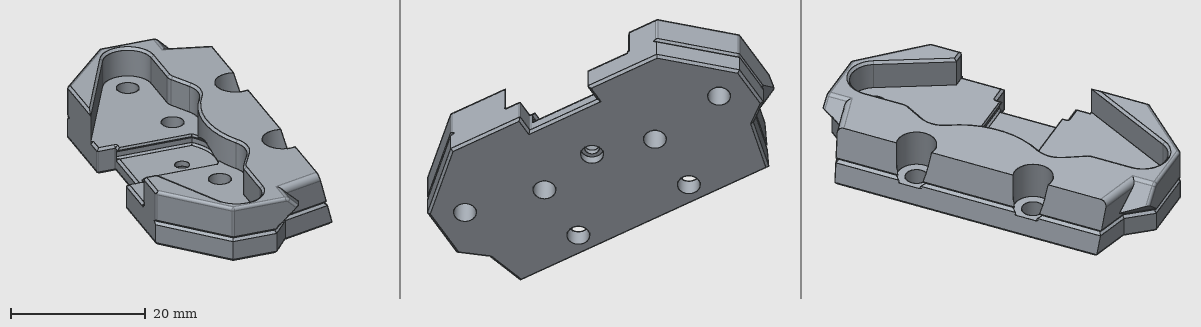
import cadquery as cq
import math

width = 53.6
depth = 26.7
height = 9.0
half_width = width / 2
margin = 0.55

edge_chamfer = 0.4
small_fillet = 0.5
large_fillet = 1.0

front_half_width = 17.7
side_start_y = 8.75
groove_z = 3.8

wedge_back_half_width = 21.35
wedge_front_y = 13.4
foot_drop = 0.4
side_angle = math.radians(15)
back_angle = math.radians(15)

ear_top_y = 17.6
ear_left_y = 17.4
ear_right_y = 15.7
ear_undercut_z = 4.3
ear_plan_slope = 0.82
ear_undercut_slope = 1.1
ear_inner_x = 21.95

hole_d = 3.4
counterbore_d = 6.0
counterbore_floor_z = 3.0
small_hole_d = 2.2
underside_bore_depth = 1.5
outer_hole_x = 21.8
outer_hole_y = 11.25
inner_hole_x = 9.5
inner_hole_y = 13.5
rear_hole_y = 23.45

pocket_floor_z = 4.3
pocket_end_radius = 3.75
pocket_lobe_radius = 4.0
pocket_shoulder_radius = 2.0
pocket_lobe_angle = math.radians(30)
pocket_front_angle = math.radians(27.5)
pocket_middle_y = 14.85
pocket_right_x = 12.65
pocket_overrun = 2.7

pocket_slant = math.tan(pocket_front_angle)
pocket_slant_x = outer_hole_x + pocket_end_radius * math.sin(pocket_front_angle)
pocket_slant_y = outer_hole_y - pocket_end_radius * math.cos(pocket_front_angle)

notch_half_width = 5.8
notch_depth = 2.9
notch_fillet = 0.15
slot_floor_z = 2.35
slot_half_width = 5.35
slot_rear_radius = 8.05
slot_rear_y = 17.0
slot_floor_chamfer = 0.3
slot_taper_z = 3.5
slot_taper_height = 2.4
slot_neck_z = 3.9
slot_neck_inset = 0.45
slot_mouth_inset = 0.25


def slab(outline, z_low, z_high):
    """Extrude a closed plan outline between two heights."""
    return cq.Workplane("XY").workplane(offset=z_low).polyline(outline).close().extrude(z_high - z_low)


def along_x(profile):
    """Extrude a closed (Y, Z) profile across the full width."""
    return cq.Workplane("YZ").polyline(profile).close().extrude(half_width + margin, both=True)


def plate(z_low, z_high):
    """Front plate; its slanted rear corners run into the wedge."""
    inner_rise = ear_plan_slope * (half_width - ear_inner_x)
    return slab(
        [
            (-front_half_width, 0),
            (front_half_width, 0),
            (half_width, side_start_y),
            (half_width, ear_right_y),
            (ear_inner_x, ear_right_y + inner_rise),
            (-ear_inner_x, ear_left_y + inner_rise),
            (-half_width, ear_left_y),
            (-half_width, side_start_y),
        ],
        z_low,
        z_high,
    )


def wedge(z_low, z_high):
    """Rear wedge with tapering sides and a back face leaning forward."""
    front_half = wedge_back_half_width + (depth - wedge_front_y) * math.tan(side_angle)
    lean = math.tan(back_angle)
    foot_y = depth + foot_drop * lean
    foot_half = wedge_back_half_width - (foot_y - depth) * math.tan(side_angle)
    plan = [
        (-front_half, wedge_front_y),
        (front_half, wedge_front_y),
        (foot_half, foot_y),
        (-foot_half, foot_y),
    ]
    leaning_back = along_x([(0, 0), (foot_y, 0), (foot_y - height * lean, height), (0, height)])
    return slab(plan, z_low, z_high).intersect(leaning_back)


def ear(side, root_y):
    """Overhanging ear on one side, ruled between its outer and inner sections."""
    def section(x):
        low_y = root_y + ear_plan_slope * (half_width - x)
        slope_sum = ear_top_y + height
        rise = (slope_sum - low_y - ear_undercut_z) / (1 + ear_undercut_slope)
        points = [
            (wedge_front_y, ear_undercut_z),
            (low_y, ear_undercut_z),
            (low_y + ear_undercut_slope * rise, ear_undercut_z + rise),
            (ear_top_y, height),
            (wedge_front_y, height),
        ]
        return cq.Wire.makePolygon([cq.Vector(side * x, y, z) for y, z in points], close=True)

    return cq.Workplane(cq.Solid.makeLoft([section(half_width), section(ear_inner_x)], True))


def region(x_limit, y_low, y_high, z_low, z_high):
    """Selector for edges centred inside a box that is symmetric about X = 0."""
    return cq.selectors.BoxSelector((-x_limit, y_low, z_low), (x_limit, y_high, z_high))


def upper_block():
    """Upper half of the plate with its ears and rounded outer edges."""
    slope_foot_y = ear_top_y + height
    below_slope = along_x([(0, 0), (slope_foot_y, 0), (ear_top_y, height), (0, height)])
    block = plate(groove_z, height).intersect(below_slope)
    block = block.union(ear(-1, ear_left_y)).union(ear(1, ear_right_y))
    block = block.faces(">Z").edges(">Y").fillet(large_fillet)
    block = block.faces("<Y").edges(">Z").chamfer(edge_chamfer)
    beyond = half_width + margin
    side_corners = region(beyond, side_start_y - margin, side_start_y + margin, groove_z, height)
    block = block.edges("|Z").edges(side_corners).fillet(small_fillet)
    upper_rims = region(beyond, -margin, slope_foot_y, height / 2 + ear_undercut_z / 2, height + margin)
    block = block.faces("<X").edges(upper_rims).fillet(small_fillet)
    return block.faces(">X").edges(upper_rims).fillet(small_fillet)


def grooved_body():
    """Plate and wedge, with a V groove around the sides and back only."""
    upper_wedge = wedge(groove_z, height).faces(">Z").edges("not |X").fillet(large_fillet)
    upper = upper_block().union(upper_wedge)
    upper = upper.faces("<Z").edges("not <Y").chamfer(edge_chamfer)
    lower = plate(0, groove_z).union(wedge(0, groove_z))
    lower = lower.faces(">Z").edges("not <Y").chamfer(edge_chamfer)
    front_corners = region(half_width, -margin, margin, groove_z, height)
    return upper.union(lower).edges("|Z").edges(front_corners).fillet(small_fillet)


def flare(outline, edge_z):
    """Tool that breaks a pocket edge at 45 degrees, widening upward to edge_z."""
    tool = outline.extrude(edge_chamfer, taper=-45)
    return tool.translate((0, 0, edge_z - edge_chamfer))


def front_edge_cut(x_low, x_high, face_y, edge_z):
    """Triangular strip along X that breaks a front edge at 45 degrees."""
    profile = [(face_y, edge_z), (face_y + edge_chamfer, edge_z), (face_y, edge_z - edge_chamfer)]
    strip = cq.Workplane("YZ").polyline(profile).close().extrude(x_high - x_low)
    return strip.translate((x_low, 0, 0))


def pocket_outline():
    """Plan of the pocket; tangent arcs around the holes, open through the front face."""
    lobe_sin = math.sin(pocket_lobe_angle)
    lobe_cos = math.cos(pocket_lobe_angle)

    end_top_y = outer_hole_y + pocket_end_radius
    right_corner_y = pocket_slant_y - (pocket_slant_x - pocket_right_x) * pocket_slant
    left_open_x = pocket_slant_x - (pocket_slant_y + pocket_overrun) / pocket_slant

    lobe_x = inner_hole_x + pocket_lobe_radius * lobe_sin
    lobe_y = inner_hole_y + pocket_lobe_radius * lobe_cos
    shoulder_x = lobe_x + (lobe_y - end_top_y) / math.tan(pocket_lobe_angle)
    setback = pocket_shoulder_radius * math.tan(pocket_lobe_angle / 2)
    shoulder_end_x = shoulder_x + setback
    shoulder_start_x = shoulder_x - setback * lobe_cos
    shoulder_start_y = end_top_y + setback * lobe_sin

    rise = pocket_middle_y - inner_hole_y
    spread = inner_hole_x**2 + rise**2 - pocket_lobe_radius**2
    middle_radius = spread / (2 * (pocket_lobe_radius - rise))
    share = pocket_lobe_radius / (pocket_lobe_radius + middle_radius)
    touch_x = inner_hole_x * (1 - share)
    touch_y = inner_hole_y + (pocket_middle_y + middle_radius - inner_hole_y) * share
    lobe_top_y = inner_hole_y + pocket_lobe_radius

    outer_x = outer_hole_x + pocket_end_radius
    return (
        cq.Workplane("XY")
        .moveTo(-left_open_x, -pocket_overrun)
        .lineTo(-pocket_slant_x, pocket_slant_y)
        .threePointArc((-outer_x, outer_hole_y), (-outer_hole_x, end_top_y))
        .lineTo(-shoulder_end_x, end_top_y)
        .tangentArcPoint((-shoulder_start_x, shoulder_start_y), relative=False)
        .lineTo(-lobe_x, lobe_y)
        .threePointArc((-inner_hole_x, lobe_top_y), (-touch_x, touch_y))
        .threePointArc((0, pocket_middle_y), (touch_x, touch_y))
        .threePointArc((inner_hole_x, lobe_top_y), (lobe_x, lobe_y))
        .lineTo(shoulder_start_x, shoulder_start_y)
        .tangentArcPoint((shoulder_end_x, end_top_y), relative=False)
        .lineTo(outer_hole_x, end_top_y)
        .threePointArc((outer_x, outer_hole_y), (pocket_slant_x, pocket_slant_y))
        .lineTo(pocket_right_x, right_corner_y)
        .lineTo(pocket_right_x, -pocket_overrun)
        .close()
    )


def pocket():
    """Pocket tool that also breaks the top rim and the edges at its front opening."""
    left_front_x = pocket_slant_y / pocket_slant - pocket_slant_x
    corner = [
        (pocket_right_x, 0),
        (pocket_right_x + edge_chamfer, 0),
        (pocket_right_x, edge_chamfer),
    ]
    tool = pocket_outline().extrude(height).translate((0, 0, pocket_floor_z))
    tool = tool.union(flare(pocket_outline(), height))
    tool = tool.union(slab(corner, pocket_floor_z, height))
    return tool.union(front_edge_cut(left_front_x, pocket_right_x, 0, pocket_floor_z))


def notch_outline():
    return cq.Workplane("XY").rect(2 * notch_half_width, 2 * notch_depth)


def slot_outline(inset):
    """Plan of the slot with an arched rear end, offset inward by inset."""
    half = slot_half_width - inset
    radius = slot_rear_radius - inset
    rear_y = slot_rear_y - inset
    side_y = rear_y - radius + math.sqrt(radius**2 - half**2)
    return (
        cq.Workplane("XY")
        .moveTo(-half, -notch_depth)
        .lineTo(-half, side_y)
        .threePointArc((0, rear_y), (half, side_y))
        .lineTo(half, -notch_depth)
        .close()
    )


def undercut_slot():
    """Slot that is wider below its neck; its sloping roof bites into the pocket wall."""
    floor_layer = slot_outline(slot_floor_chamfer).extrude(slot_floor_chamfer, taper=-45)
    tool = floor_layer.translate((0, 0, slot_floor_z))
    wall_z = slot_floor_z + slot_floor_chamfer
    tool = tool.union(slot_outline(0).extrude(slot_taper_z - wall_z).translate((0, 0, wall_z)))
    roof = slot_outline(0).extrude(slot_taper_height, taper=45)
    tool = tool.union(roof.translate((0, 0, slot_taper_z)))
    mouth_rise = pocket_floor_z - slot_neck_z
    flare_angle = math.degrees(math.atan((slot_neck_inset - slot_mouth_inset) / mouth_rise))
    mouth = slot_outline(slot_neck_inset).extrude(mouth_rise, taper=-flare_angle)
    mouth = mouth.intersect(pocket_outline().extrude(height))
    tool = tool.union(mouth.translate((0, 0, slot_neck_z)))
    lip = front_edge_cut(-slot_half_width, slot_half_width, notch_depth, slot_floor_z)
    return tool.union(lip)


def hole_tool(points, diameter, z_low):
    """Cylinders from z_low up past the top of the part."""
    cylinders = cq.Workplane("XY").workplane(offset=z_low).pushPoints(points)
    return cylinders.circle(diameter / 2).extrude(height)


def holes():
    outer = [(-outer_hole_x, outer_hole_y), (outer_hole_x, outer_hole_y)]
    inner = [(-inner_hole_x, inner_hole_y), (inner_hole_x, inner_hole_y)]
    rear = [(-inner_hole_x, rear_hole_y), (inner_hole_x, rear_hole_y)]
    centre = [(0, outer_hole_y)]
    tool = hole_tool(outer + inner + rear, hole_d, 0)
    tool = tool.union(hole_tool(rear, counterbore_d, counterbore_floor_z))
    tool = tool.union(hole_tool(centre, small_hole_d, 0))
    underside_bore = cq.Workplane("XY").center(0, outer_hole_y).circle(hole_d / 2)
    return tool.union(underside_bore.extrude(underside_bore_depth))


result = grooved_body().cut(notch_outline().extrude(height))
result = result.faces("<Z").edges().chamfer(edge_chamfer)
notch_edges = region(notch_half_width + margin, -margin, notch_depth + margin, 0, height)
result = result.edges("|Z").edges(notch_edges).fillet(notch_fillet)
result = result.cut(pocket()).cut(flare(notch_outline(), pocket_floor_z))
result = result.cut(undercut_slot()).cut(holes())